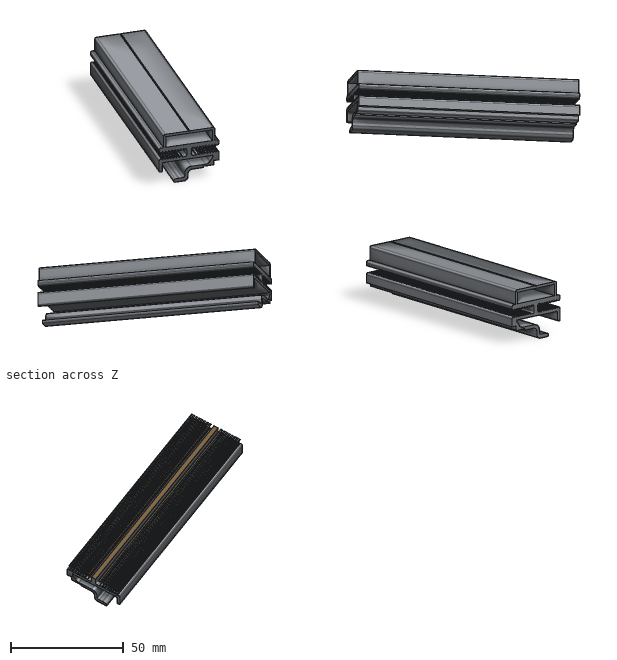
import cadquery as cq
import math


LENGTH = 100.0
WIDTH = 28.0
HEIGHT = 24.6
EDGE = WIDTH / 2

FLANGE_TOP = 18.1
FLANGE_BOTTOM = 15.5
PLATE_TOP = 12.6
PLATE_BOTTOM = 10.7

BOX_HALF_WIDTH = 12.0
BOX_WALL = 1.2
MARK_DEPTH = 0.3
MARK_HALF_WIDTH = 0.3

WEB_WIDTH = 2.2

CORNER_RADIUS = 1.0
FLANGE_LOWER_RADIUS = 1.1
WEB_RADIUS = 0.9
LEG_ROOT_RADIUS = 0.8
LEG_TIP_RADIUS = 0.6

GROOVE_DEPTH = 0.5
GROOVE_ANGLE = 65.0
GROOVE_COUNT = 7
FLANGE_GROOVE_PITCH = 1.4
FLANGE_GROOVE_OUTERMOST = 12.2
FLANGE_RELIEF_HALF_WIDTH = 2.5
PLATE_GROOVE_PITCH = 1.3
PLATE_GROOVE_OUTERMOST = 12.5
PLATE_RELIEF_HALF_WIDTH = 3.2

LEG_WIDTH = 1.5
LEG_BOTTOM = 6.1

BLOCK_BOTTOM = 8.0
BLOCK_INNER = 11.1
SLOPE_TOP = 9.9
SLOPE_ANGLE = 55.0
SLOPE_RADIUS = 2.5
HEEL_Y = 11.6
HEEL_BOTTOM = 5.9
HEEL_END = 6.6
HEEL_RADIUS = 0.5

ARM_TOP = 6.8
ARM_THICKNESS = 1.5
NECK_Y = -2.0
BEND_OUTER_RADIUS = 3.0
BEND_INNER_RADIUS = 2.0
LIP_TOP = 1.8
LIP_INNER_RADIUS = 1.0
LIP_OUTER_RADIUS = 2.0
LIP_BEND_Y = -4.9
LIP_BEND_RADIUS = 2.5
LIP_END = -7.2
LIP_NOSE_RADIUS = 0.8


def extrude(section):
    """Extrude a closed Y-Z section along the whole length."""
    return section.extrude(LENGTH / 2, both=True)


def bar(y_min, y_max, z_min, z_max):
    """Full-length rectangular bar between the given Y and Z limits."""
    section = cq.Workplane("YZ").center((y_min + y_max) / 2, (z_min + z_max) / 2)
    return extrude(section.rect(y_max - y_min, z_max - z_min))


def prism(points):
    """Full-length bar with a polygonal section."""
    return extrude(cq.Workplane("YZ").polyline(points).close())


def round_edges(body, radius, corners):
    """Fillet the lengthwise edges that pass through the given (Y, Z) corners."""
    for y, z in corners:
        body = body.edges("|X").edges(cq.NearestToPointSelector((0, y, z))).fillet(radius)
    return body


def both_sides(y, z):
    """The (Y, Z) corner and its mirror image across the web."""
    return [(-y, z), (y, z)]


def make_box():
    """Open-ended hollow box with a V-shaped centre mark along its top."""
    outer = bar(-BOX_HALF_WIDTH, BOX_HALF_WIDTH, FLANGE_TOP, HEIGHT)
    inner_half_width = BOX_HALF_WIDTH - BOX_WALL
    inner = bar(-inner_half_width, inner_half_width, FLANGE_TOP, HEIGHT - BOX_WALL)
    outer = round_edges(outer, CORNER_RADIUS, both_sides(BOX_HALF_WIDTH, HEIGHT))
    mark = prism([(-MARK_HALF_WIDTH, HEIGHT), (0, HEIGHT - MARK_DEPTH), (MARK_HALF_WIDTH, HEIGHT)])
    return outer.cut(inner).cut(mark)


def make_grooves(face_z, root_z, outermost, pitch, relief_half_width):
    """V-grooves on both sides of the web plus the flat relief next to it."""
    half_mouth = GROOVE_DEPTH * math.tan(math.radians(GROOVE_ANGLE / 2))
    half_web = WEB_WIDTH / 2
    z_min, z_max = sorted((face_z, root_z))
    cutter = bar(half_web, relief_half_width, z_min, z_max)
    for index in range(GROOVE_COUNT):
        y = outermost - index * pitch
        cutter = cutter.union(prism([(y - half_mouth, face_z), (y, root_z), (y + half_mouth, face_z)]))
    return cutter.union(cutter.mirror("XZ"))


def make_clamp():
    """Flange, web, plate and leg with their gripping faces."""
    half_web = WEB_WIDTH / 2
    flange_root = FLANGE_BOTTOM + GROOVE_DEPTH
    plate_root = PLATE_TOP - GROOVE_DEPTH

    flange = bar(-EDGE, EDGE, FLANGE_BOTTOM, FLANGE_TOP)
    flange = round_edges(flange, CORNER_RADIUS, both_sides(EDGE, FLANGE_TOP))
    flange = round_edges(flange, FLANGE_LOWER_RADIUS, both_sides(EDGE, FLANGE_BOTTOM))
    flange_grooves = make_grooves(FLANGE_BOTTOM, flange_root, FLANGE_GROOVE_OUTERMOST,
                                  FLANGE_GROOVE_PITCH, FLANGE_RELIEF_HALF_WIDTH)
    flange = flange.cut(flange_grooves)

    leg_inner = -EDGE + LEG_WIDTH
    plate = bar(-EDGE, EDGE, PLATE_BOTTOM, PLATE_TOP).union(bar(-EDGE, leg_inner, LEG_BOTTOM, PLATE_TOP))
    plate = round_edges(plate, CORNER_RADIUS, both_sides(EDGE, PLATE_TOP))
    plate = round_edges(plate, LEG_ROOT_RADIUS, [(leg_inner, PLATE_BOTTOM)])
    plate = round_edges(plate, LEG_TIP_RADIUS, [(-EDGE, LEG_BOTTOM), (leg_inner, LEG_BOTTOM)])
    plate_grooves = make_grooves(PLATE_TOP, plate_root, PLATE_GROOVE_OUTERMOST,
                                 PLATE_GROOVE_PITCH, PLATE_RELIEF_HALF_WIDTH)
    plate = plate.cut(plate_grooves)

    web = bar(-half_web, half_web, PLATE_BOTTOM, FLANGE_TOP)
    clamp = flange.union(web).union(plate)
    web_corners = both_sides(half_web, flange_root) + both_sides(half_web, plate_root)
    return round_edges(clamp, WEB_RADIUS, web_corners)


def make_hook():
    """Block under the plate, with the arm and the double-bent lip."""
    arm_bottom = ARM_TOP - ARM_THICKNESS
    neck_outer = NECK_Y + ARM_THICKNESS
    nose_y = LIP_END + LIP_NOSE_RADIUS

    slope = math.radians(SLOPE_ANGLE)
    arc_start_z = ARM_TOP + SLOPE_RADIUS * (1 - math.cos(slope))
    arc_start_y = BLOCK_INNER - (SLOPE_TOP - arc_start_z) / math.tan(slope)
    arc_centre_y = arc_start_y - SLOPE_RADIUS * math.sin(slope)
    arc_mid = (arc_centre_y + SLOPE_RADIUS * math.sin(slope / 2),
               ARM_TOP + SLOPE_RADIUS * (1 - math.cos(slope / 2)))

    section = (
        cq.Workplane("YZ")
        .moveTo(EDGE, PLATE_BOTTOM)
        .lineTo(BLOCK_INNER, PLATE_BOTTOM)
        .lineTo(BLOCK_INNER, SLOPE_TOP)
        .lineTo(arc_start_y, arc_start_z)
        .threePointArc(arc_mid, (arc_centre_y, ARM_TOP))
        .lineTo(NECK_Y, ARM_TOP)
        .lineTo(NECK_Y, LIP_TOP)
        .lineTo(LIP_BEND_Y, LIP_TOP)
        .lineTo(nose_y, 2 * LIP_NOSE_RADIUS)
        .threePointArc((LIP_END, LIP_NOSE_RADIUS), (nose_y, 0))
        .lineTo(neck_outer, 0)
        .lineTo(neck_outer, arm_bottom)
        .lineTo(HEEL_END, arm_bottom)
        .lineTo(HEEL_END, HEEL_BOTTOM)
        .lineTo(HEEL_Y, HEEL_BOTTOM)
        .lineTo(HEEL_Y, BLOCK_BOTTOM)
        .lineTo(EDGE, BLOCK_BOTTOM)
        .close()
    )
    hook = extrude(section)
    hook = round_edges(hook, BEND_OUTER_RADIUS, [(NECK_Y, ARM_TOP)])
    hook = round_edges(hook, BEND_INNER_RADIUS, [(neck_outer, arm_bottom)])
    hook = round_edges(hook, LIP_INNER_RADIUS, [(NECK_Y, LIP_TOP)])
    hook = round_edges(hook, LIP_BEND_RADIUS, [(LIP_BEND_Y, LIP_TOP)])
    hook = round_edges(hook, LIP_OUTER_RADIUS, [(neck_outer, 0)])
    return round_edges(hook, HEEL_RADIUS, [(HEEL_Y, HEEL_BOTTOM)])


result = make_clamp().union(make_box()).union(make_hook())